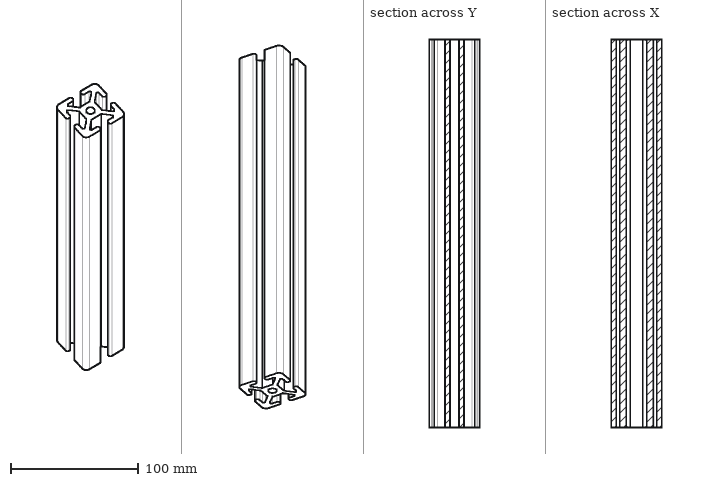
import cadquery as cq

length = 304.8
width = 40.0
corner_radius = 4.0

slot_opening = 8.2
lip_thickness = 4.3
lip_radius = 1.8
cavity_end_radius = 1.2

core_width = 15.2
web_offset = 2.7
bore_diameter = 6.7

half_width = width / 2
half_opening = slot_opening / 2
half_core = core_width / 2
lip_underside = half_width - lip_thickness


def make_slot():
    """T-slot cutter open toward +Y; sloped flanks run parallel to the webs."""
    opening = (
        cq.Workplane("XY")
        .center(0, (lip_underside + half_width) / 2)
        .rect(slot_opening, lip_thickness)
        .extrude(length)
    )
    floor_half = half_core - web_offset
    cavity = (
        cq.Workplane("XY")
        .moveTo(-floor_half, half_core)
        .lineTo(floor_half, half_core)
        .lineTo(lip_underside - web_offset, lip_underside)
        .lineTo(web_offset - lip_underside, lip_underside)
        .close()
        .extrude(length)
    )
    cavity = cavity.faces(">Y").edges("|Z").fillet(cavity_end_radius)
    return opening.union(cavity)


def round_lips(body, angle):
    """Round the outer and inner edges of both lips beside one slot."""
    margin = 0.3
    lip_zone = cq.selectors.BoxSelector(
        (-half_opening - margin, lip_underside - margin, -margin),
        (half_opening + margin, half_width + margin, length + margin),
    )
    turned = body.rotate((0, 0, 0), (0, 0, 1), -angle)
    rounded = turned.edges("|Z").edges(lip_zone).fillet(lip_radius)
    return rounded.rotate((0, 0, 0), (0, 0, 1), angle)


bar = cq.Workplane("XY").rect(width, width).extrude(length)
result = bar.edges("|Z").fillet(corner_radius)

slot_angles = (0, 90, 180, 270)
for slot_angle in slot_angles:
    result = result.cut(make_slot().rotate((0, 0, 0), (0, 0, 1), slot_angle))
for slot_angle in slot_angles:
    result = round_lips(result, slot_angle)

bore = cq.Workplane("XY").circle(bore_diameter / 2).extrude(length)
result = result.cut(bore)